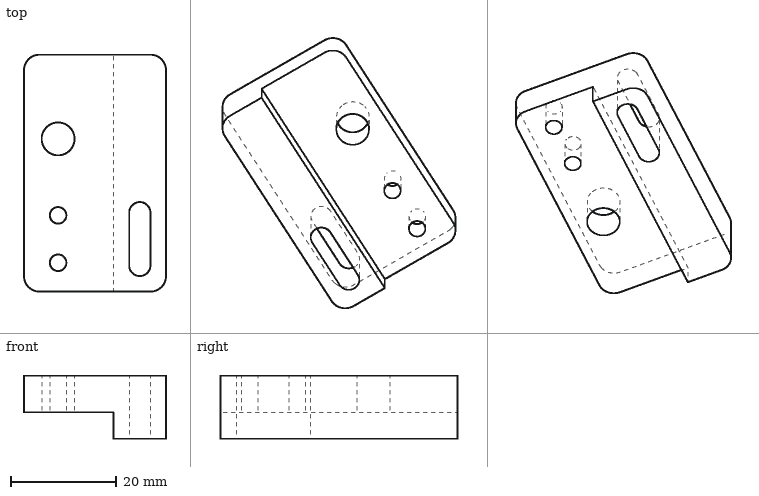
import cadquery as cq

width = 27.0
length = 45.0
plate_thickness = 7.0
rail_height = 5.0
rail_width = 10.0
corner_radius = 3.0

hole_line_x = 6.5
large_hole_diameter = 6.2
large_hole_y = 29.0
small_hole_diameter = 3.1
small_hole_first_y = 5.5
small_hole_spacing = 9.0

slot_width = 4.0
slot_length = 14.0
slot_front_margin = 3.0
slot_side_margin = 3.0

total_height = plate_thickness + rail_height


def make_body():
    """Rounded block with the underside cut away, leaving a rail along the +X side."""
    block = cq.Workplane("XY").box(width, length, total_height, centered=False)
    block = block.edges("|Z").fillet(corner_radius)
    relief = cq.Workplane("XY").box(width - rail_width, length, rail_height, centered=False)
    return block.cut(relief)


def make_hole(diameter, y):
    """Cutter for a vertical through hole on the common hole line."""
    return cq.Workplane("XY").center(hole_line_x, y).circle(diameter / 2).extrude(total_height)


def make_slot():
    """Cutter for the round-ended through slot."""
    center_x = width - slot_side_margin - slot_width / 2
    center_y = slot_front_margin + slot_length / 2
    slot = cq.Workplane("XY").center(center_x, center_y)
    return slot.slot2D(slot_length, slot_width, angle=90).extrude(total_height)


result = make_body()
result = result.cut(make_hole(large_hole_diameter, large_hole_y))
for small_hole_y in (small_hole_first_y, small_hole_first_y + small_hole_spacing):
    result = result.cut(make_hole(small_hole_diameter, small_hole_y))
result = result.cut(make_slot())